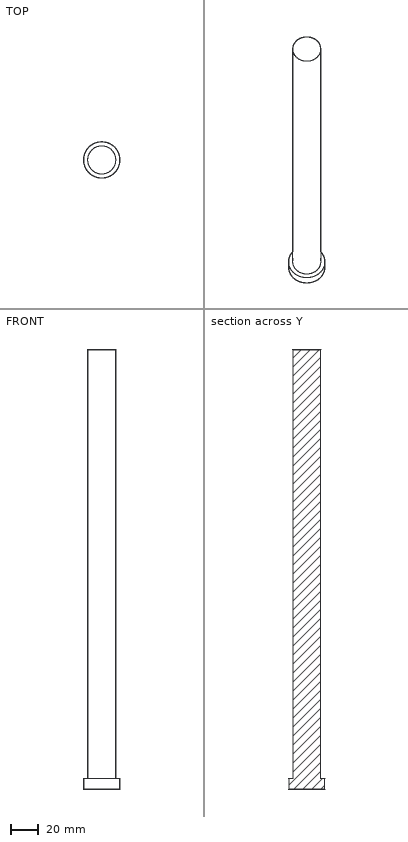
import cadquery as cq

total_length = 315.0
head_diameter = 26.0
head_height = 8.0
shaft_diameter = 20.2

head = cq.Workplane("XY").circle(head_diameter / 2).extrude(head_height)
shaft = cq.Workplane("XY").circle(shaft_diameter / 2).extrude(total_length)

result = head.union(shaft)